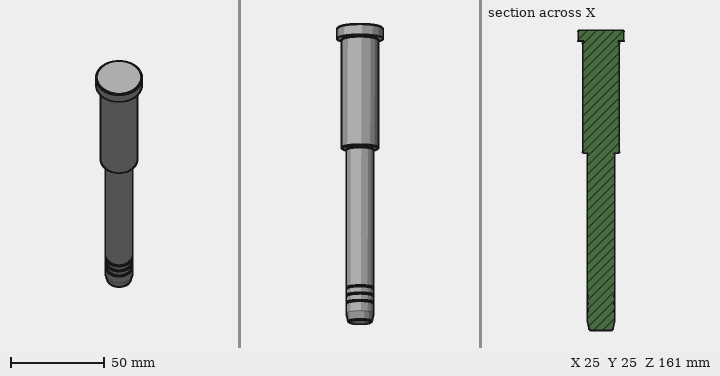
import cadquery as cq

total_length = 161.0
head_diameter = 25.0
head_height = 6.0
body_diameter = 20.0
body_end_depth = 66.0
shaft_diameter = 15.0
head_chamfer = 0.6
body_chamfer = 0.5
neck_depth = 0.5
body_neck_cone_height = 0.5
body_neck_floor_height = 0.5
shaft_neck_height = 1.0

tip_height = 5.0
tip_diameter = 12.9
tip_chamfer = 0.6

groove_width = 1.0
groove_floor_width = 0.5
groove_depth = 0.5
lowest_groove_height = 10.5
groove_pitch = 4.0
groove_count = 3

head_bottom = total_length - head_height
body_bottom = total_length - body_end_depth


def cylinder(diameter, bottom, top):
    return cq.Workplane("XY").workplane(offset=bottom).circle(diameter / 2).extrude(top - bottom)


def necked_cylinder(diameter, bottom, top, neck_height):
    """Cylinder whose upper end narrows in a short cone below a shoulder."""
    return cylinder(diameter, bottom, top).faces(">Z").chamfer(neck_height, neck_depth)


def make_head():
    return cylinder(head_diameter, head_bottom, total_length).faces(">Z").chamfer(head_chamfer)


def make_body():
    neck_bottom = head_bottom - body_neck_floor_height
    body = necked_cylinder(body_diameter, body_bottom, neck_bottom, body_neck_cone_height)
    body = body.union(cylinder(body_diameter - 2 * neck_depth, neck_bottom, head_bottom))
    return body.faces("<Z").chamfer(body_chamfer)


def make_shaft():
    return necked_cylinder(shaft_diameter, tip_height, body_bottom, shaft_neck_height)


def make_tip():
    tip = (
        cq.Workplane("XY")
        .circle(tip_diameter / 2)
        .workplane(offset=tip_height)
        .circle(shaft_diameter / 2)
        .loft(ruled=True)
    )
    return tip.faces("<Z").edges().chamfer(tip_chamfer)


def make_groove(middle):
    """Ring with sloping flanks and a narrow flat floor."""
    surface = shaft_diameter / 2
    floor = surface - groove_depth
    profile = [
        (surface, middle - groove_width / 2),
        (floor, middle - groove_floor_width / 2),
        (floor, middle + groove_floor_width / 2),
        (surface, middle + groove_width / 2),
    ]
    return cq.Workplane("XZ").polyline(profile).close().revolve(360, (0, 0), (0, 1))


result = make_head().union(make_body()).union(make_shaft()).union(make_tip())

for index in range(groove_count):
    result = result.cut(make_groove(lowest_groove_height + index * groove_pitch))